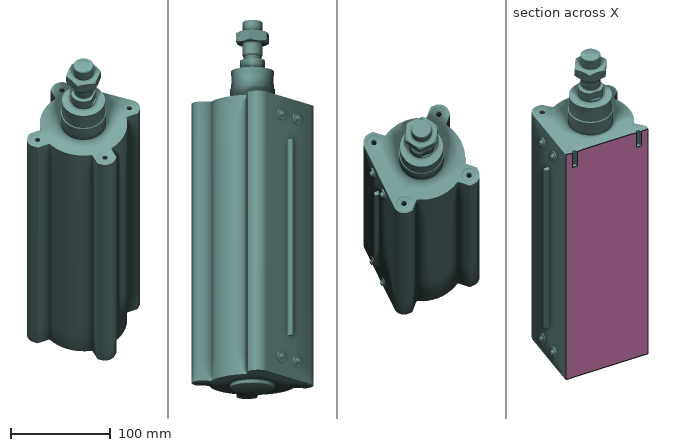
import cadquery as cq
import math

housing_bottom = 4.0
housing_top = 292.0
collar_step = 308.5
collar_top = 326.2
shoulder_top = 337.5
thread_start = 341.5
rod_top = 377.5

barrel_radius = 43.8
half_width = 46.5
lug_radius = 10.5
lug_flat = 4.0
lug_corner_fillet = 1.0
root_fillet = 2.0

hole_mouth_diameter = 16.0
hole_seat_diameter = 13.0
hole_seat_depth = 0.5
countersink_diameter = 8.3
pilot_diameter = 5.3
pilot_start_depth = 0.8
pilot_depth = 19.0

boss_diameter = 45.0
boss_chamfer = 0.8
collar_diameter = 43.0
collar_waist = 0.5

rail_width = 3.8
rail_length = 202.0
rail_height = 5.3
rail_chamfer = 0.5
plug_offset = 12.5
plug_end_distance = 19.0
plug_disc_diameter = 11.5
plug_disc_top = 1.0
plug_collar_diameter = 6.5
plug_collar_top = 2.3
plug_pin_diameter = 4.5
plug_pin_top = 4.0

shoulder_diameter = 25.0
wrench_flats = 21.5
flats_bottom = 328.5
neck_diameter = 17.7
neck_fillet = 1.5
thread_lead = 2.0
thread_diameter = 20.0
thread_end_chamfer = 0.8

nut_sides = 6
nut_across_flats = 31.0
nut_bottom = 355.5
nut_height = 10.5
nut_chamfer_angle = 30.0

housing_height = housing_top - housing_bottom
housing_middle = (housing_top + housing_bottom) / 2
lug_center = half_width - lug_radius
web_bottom = lug_center - lug_radius

tolerance = 0.05


def cylinder(diameter, bottom, top):
    return cq.Workplane("XY").workplane(offset=bottom).circle(diameter / 2).extrude(top - bottom)


def fillet_uprights(body, axis_distance, radius):
    """Fillet the vertical edges that lie at the given distance from the Z axis."""
    uprights = [
        edge
        for edge in body.edges("|Z").vals()
        if abs(math.hypot(edge.Center().x, edge.Center().y) - axis_distance) < tolerance
    ]
    return body.newObject(uprights).fillet(radius)


def lug():
    """Corner lug in the +X +Y corner, symmetric about the diagonal."""
    flat_end = lug_center - lug_flat
    inset = half_width - flat_end
    arc_middle = lug_center + lug_radius * math.sqrt(0.5)
    blank = (
        cq.Workplane("XY")
        .workplane(offset=housing_bottom)
        .moveTo(half_width, flat_end)
        .lineTo(half_width, lug_center)
        .threePointArc((arc_middle, arc_middle), (lug_center, half_width))
        .lineTo(flat_end, half_width)
        .lineTo(0, inset)
        .lineTo(inset, 0)
        .close()
        .extrude(housing_height)
    )
    return fillet_uprights(blank, math.hypot(half_width, flat_end), lug_corner_fillet)


def web():
    """Fills the space between the two +Y lugs up to the flat face."""
    height = half_width - web_bottom
    block = cq.Workplane("XY").box(2 * lug_center, height, housing_height, centered=(True, False, False))
    return block.translate((0, web_bottom, housing_bottom))


def extrusion():
    body = cylinder(2 * barrel_radius, housing_bottom, housing_top)
    for quarter in range(4):
        body = body.union(lug().rotate((0, 0, 0), (0, 0, 1), 90 * quarter))
    return fillet_uprights(body, barrel_radius, root_fillet).union(web())


def tie_rod_hole():
    """Cutter for one hole, with its mouth at Z = 0."""
    return (
        cq.Workplane("XZ")
        .lineTo(hole_mouth_diameter / 2, 0)
        .lineTo(hole_seat_diameter / 2, -hole_seat_depth)
        .lineTo(countersink_diameter / 2, -hole_seat_depth)
        .lineTo(pilot_diameter / 2, -pilot_start_depth)
        .lineTo(pilot_diameter / 2, -pilot_depth)
        .lineTo(0, -pilot_depth)
        .close()
        .revolve(360, (0, 0), (0, 1))
    )


def collar():
    """Chamfered base ring under a slightly waisted upper ring."""
    base = cylinder(boss_diameter, housing_top, collar_step).faces(">Z").chamfer(boss_chamfer)
    radius = collar_diameter / 2
    middle = (collar_step + collar_top) / 2
    ring = (
        cq.Workplane("XZ")
        .moveTo(0, collar_step)
        .lineTo(radius, collar_step)
        .threePointArc((radius - collar_waist, middle), (radius, collar_top))
        .lineTo(0, collar_top)
        .close()
        .revolve(360, (0, 0), (0, 1))
    )
    return base.union(ring)


def rail():
    blank = cq.Workplane("XY").box(rail_width, rail_height, rail_length, centered=(True, False, True))
    return blank.edges(">Y and |Z").chamfer(rail_chamfer).translate((0, half_width, housing_middle))


def plug():
    """Stepped plug standing on the +Y face, with its axis along Y."""
    face = cq.Workplane("XZ", origin=(0, half_width, 0))
    disc = face.circle(plug_disc_diameter / 2).extrude(-plug_disc_top)
    raised_ring = face.circle(plug_collar_diameter / 2).extrude(-plug_collar_top)
    pin = face.circle(plug_pin_diameter / 2).extrude(-plug_pin_top)
    return disc.union(raised_ring).union(pin)


def make_housing():
    body = extrusion().union(collar()).union(rail())
    body = body.union(cylinder(boss_diameter, 0, housing_bottom).faces("<Z").chamfer(boss_chamfer))
    for x in (-lug_center, lug_center):
        for y in (-lug_center, lug_center):
            body = body.cut(tie_rod_hole().translate((x, y, housing_top)))
    for x in (-plug_offset, plug_offset):
        for z in (housing_bottom + plug_end_distance, housing_top - plug_end_distance):
            body = body.union(plug().translate((x, 0, z)))
    return body


def make_rod():
    """Shoulder with two wrench flats facing X, then an undercut neck and the thread cylinder."""
    shoulder = cylinder(shoulder_diameter, collar_top, shoulder_top)
    flats = cq.Workplane("XY").box(
        wrench_flats, shoulder_diameter, shoulder_top - flats_bottom, centered=(True, True, False)
    )
    below_flats = cylinder(shoulder_diameter, collar_top, flats_bottom)
    shoulder = shoulder.intersect(flats.translate((0, 0, flats_bottom))).union(below_flats)
    neck_radius = neck_diameter / 2
    neck_and_thread = (
        cq.Workplane("XZ")
        .moveTo(0, shoulder_top)
        .lineTo(neck_radius + neck_fillet, shoulder_top)
        .radiusArc((neck_radius, shoulder_top + neck_fillet), neck_fillet)
        .lineTo(neck_radius, thread_start)
        .lineTo(thread_diameter / 2, thread_start + thread_lead)
        .lineTo(thread_diameter / 2, rod_top - thread_end_chamfer)
        .lineTo(thread_diameter / 2 - thread_end_chamfer, rod_top)
        .lineTo(0, rod_top)
        .close()
        .revolve(360, (0, 0), (0, 1))
    )
    return shoulder.union(neck_and_thread)


def make_nut():
    """Hexagon nut with two corners on the Y axis and its corners chamfered on both ends."""
    corner_diameter = nut_across_flats / math.cos(math.pi / nut_sides)
    blank = (
        cq.Workplane("XY")
        .polygon(nut_sides, corner_diameter)
        .extrude(nut_height)
        .rotate((0, 0, 0), (0, 0, 1), 180 / nut_sides)
    )
    chamfer_width = (corner_diameter - nut_across_flats) / 2
    chamfer_height = chamfer_width * math.tan(math.radians(nut_chamfer_angle))
    rounding = cylinder(corner_diameter, 0, nut_height).edges().chamfer(chamfer_height, chamfer_width)
    bore = cylinder(thread_diameter, 0, nut_height)
    return blank.intersect(rounding).cut(bore).translate((0, 0, nut_bottom))


housing = make_housing()
rod = make_rod()
nut = make_nut()
result = cq.Compound.makeCompound([housing.val(), rod.val(), nut.val()])